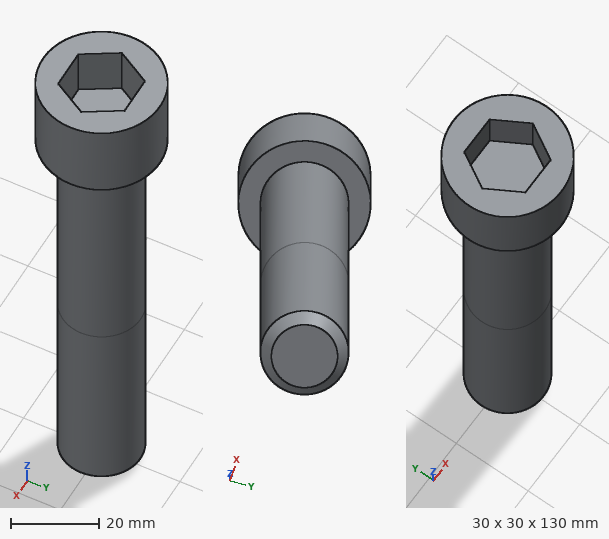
import cadquery as cq
import math

thread_diameter = 20.0
nominal_length = 110.0
thread_length = 52.0
tip_chamfer = 2.5
head_diameter = 1.5 * thread_diameter
head_height = thread_diameter
socket_across_flats = 17.0
socket_depth = 12.5

hexagon_sides = 6
plain_shank_length = nominal_length - thread_length
total_length = nominal_length + head_height
socket_across_corners = socket_across_flats / math.cos(math.pi / hexagon_sides)


def cylinder(diameter, base_height, length):
    """Cylinder on the screw axis, rising from base_height."""
    return cq.Workplane("XY").workplane(offset=base_height).circle(diameter / 2).extrude(length)


def threaded_end():
    """Smooth envelope of the thread, chamfered at the tip."""
    return cylinder(thread_diameter, 0, thread_length).faces("<Z").chamfer(tip_chamfer)


def plain_shank():
    """Unthreaded length between the thread and the head."""
    return cylinder(thread_diameter, thread_length, plain_shank_length)


def hex_socket():
    """Hexagonal recess with two corners on the X axis, sunk from the head top."""
    top = cq.Workplane("XY").workplane(offset=total_length)
    return top.polygon(hexagon_sides, socket_across_corners).extrude(-socket_depth)


def head():
    """Cylindrical head with its hexagonal drive socket."""
    return cylinder(head_diameter, nominal_length, head_height).cut(hex_socket())


result = threaded_end().union(plain_shank(), clean=False).union(head(), clean=False)